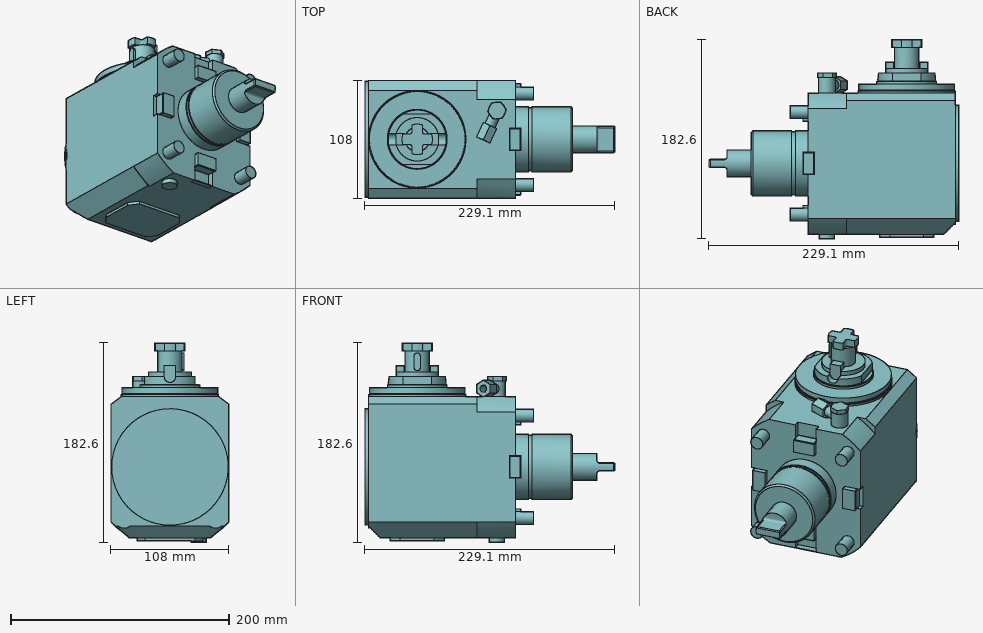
import cadquery as cq
import math


body_left = -44.7
body_right = 90.2
body_half_width = 54.0
body_top = 64.4
body_bottom = -65.0
step_x = 55.0
rounded_corner_radius = 74.0
top_chamfer_width = 9.2
top_chamfer_height = 6.9
bottom_chamfer_width = 16.7
bottom_chamfer_height = 14.7
toe_chamfer = 10.8
cover_radius = 53.4
cover_left = -47.9

bolt_y = 42.0
bolt_z = 47.0
bolt_radius = 6.0
bolt_end = 106.7
bolt_boss_radius = 9.2
key_left = 84.5
key_right = 95.0
key_width = 20.5
key_inner = 38.5
key_outer = 51.3
key_chamfer = 0.7

shank_radius = 30.0
shank_end = 142.5
shank_chamfer = 1.5
groove_left = 102.0
groove_right = 105.4
groove_radius = 29.0
drive_shaft_radius = 12.4
drive_shaft_end = 164.7
tang_end = 181.2
tang_half_thickness = 4.0
tang_bevel_run = 1.4
tang_bevel_drop = 0.7
tang_fillet = 2.0

flange_base_radius = 44.7
flange_base_top = 66.2
flange_groove_radius = 43.3
flange_groove_top = 67.0
flange_radius = 44.0
flange_top = 72.5
seal_radius = 27.5
seal_top = 75.5
seal_chamfer = 0.7
nut_radius = 26.5
nut_top = 83.0
nut_flat_width = 46.3
collar_radius = 20.0
collar_top = 87.0
spindle_radius = 11.2
driver_bottom = 106.3
driver_top = 113.4
driver_radius = 14.0
driver_arm_width = 9.8
driver_fillet = 1.5

dog_inner_x = 12.0
dog_span = 38.7
dog_width = 10.5
dog_top = 92.8
dog_bottom = 77.5

feather_width = 5.7
feather_bottom = 88.2
feather_top = 104.5
feather_reach = 13.0

fitting_x = 73.0
fitting_y = 26.3
fitting_radius = 7.8
fitting_head_corners = 17.2
fitting_head_bottom = 78.8
fitting_top = 83.0
nozzle_angle = 245.0
nozzle_z = 71.7
nozzle_radius = 5.0
nozzle_hex_corners = 15.5
nozzle_hex_start = 15.1
nozzle_hex_end = 29.8
nozzle_bore_radius = 3.2
nozzle_bore_depth = 13.7

pad_radius = 34.0
pad_length = 49.7
pad_width = 60.2
pad_bottom = -67.8
plug_radius = 7.0
plug_bottom = -69.2


def box(x0, x1, y0, y1, z0, z1):
    return cq.Workplane("XY").box(x1 - x0, y1 - y0, z1 - z0, centered=False).translate((x0, y0, z0))


def disc_x(radius, x0, x1, y=0.0, z=0.0):
    return cq.Workplane("YZ", origin=(x0, y, z)).circle(radius).extrude(x1 - x0)


def disc_z(radius, z0, z1, x=0.0, y=0.0):
    return cq.Workplane("XY", origin=(x, y, z0)).circle(radius).extrude(z1 - z0)


def make_housing():
    half = body_half_width
    front_profile = [
        (half, body_bottom + bottom_chamfer_height),
        (half, body_top - top_chamfer_height),
        (half - top_chamfer_width, body_top),
        (-half + top_chamfer_width, body_top),
        (-half, body_top - top_chamfer_height),
        (-half, body_bottom + bottom_chamfer_height),
        (-half + bottom_chamfer_width, body_bottom),
        (half - bottom_chamfer_width, body_bottom),
    ]
    front = cq.Workplane("YZ", origin=(body_left, 0, 0)).polyline(front_profile).close()
    front = front.extrude(step_x - body_left)
    toe = [
        (body_left, body_bottom),
        (body_left + toe_chamfer, body_bottom),
        (body_left, body_bottom + toe_chamfer),
    ]
    front = front.cut(cq.Workplane("XZ").polyline(toe).close().extrude(half, both=True))
    rear = box(step_x, body_right, -half, half, body_bottom, body_top)
    rear = rear.intersect(disc_x(rounded_corner_radius, step_x, body_right))
    housing = front.union(rear)
    for y in (-bolt_y, bolt_y):
        housing = housing.union(disc_x(bolt_boss_radius, body_left, step_x, y, -bolt_z))
    return housing.union(disc_x(cover_radius, cover_left, body_left))


def add_bolts(part):
    for y in (-bolt_y, bolt_y):
        for z in (-bolt_z, bolt_z):
            part = part.union(disc_x(bolt_radius, body_right, bolt_end, y, z))
    return part


def add_keys(part):
    half = key_width / 2
    slot = box(key_left, body_right, -half, half, key_inner, body_top)
    key = box(key_left, key_right, -half, half, key_inner, key_outer).faces(">Z").chamfer(key_chamfer)
    for angle in (0, 90, 180, 270):
        part = part.cut(slot.rotate((0, 0, 0), (1, 0, 0), angle))
        part = part.union(key.rotate((0, 0, 0), (1, 0, 0), angle))
    return part


def make_shank():
    shank = disc_x(shank_radius, body_right, shank_end).faces(">X").chamfer(shank_chamfer)
    groove = disc_x(shank_radius, groove_left, groove_right)
    groove = groove.cut(disc_x(groove_radius, groove_left, groove_right))
    return shank.cut(groove).union(disc_x(drive_shaft_radius, shank_end, drive_shaft_end))


def make_tang():
    thick = tang_half_thickness
    edge = thick - tang_bevel_drop
    side = math.sqrt(drive_shaft_radius**2 - edge**2)
    arc = tang_fillet * (1 - math.sqrt(0.5))
    root = drive_shaft_end
    profile = (
        cq.Workplane("XZ")
        .moveTo(root, -thick - tang_fillet)
        .threePointArc((root + arc, -thick - arc), (root + tang_fillet, -thick))
        .lineTo(tang_end - tang_bevel_run, -thick)
        .lineTo(tang_end, -edge)
        .lineTo(tang_end, edge)
        .lineTo(tang_end - tang_bevel_run, thick)
        .lineTo(root + tang_fillet, thick)
        .threePointArc((root + arc, thick + arc), (root, thick + tang_fillet))
        .close()
        .extrude(drive_shaft_radius, both=True)
    )
    blank = disc_x(drive_shaft_radius, root, tang_end).faces(">X").chamfer(tang_bevel_run, tang_bevel_drop)
    tang = profile.intersect(blank)
    for y_sign in (-1, 1):
        for z_sign in (-1, 1):
            bevel = [
                (y_sign * (side - tang_bevel_run), z_sign * thick),
                (y_sign * side, z_sign * edge),
                (y_sign * side, z_sign * thick),
            ]
            cutter = cq.Workplane("YZ", origin=(root + tang_fillet, 0, 0)).polyline(bevel).close()
            tang = tang.cut(cutter.extrude(tang_end - root))
    return tang


def make_driver():
    span = 2 * driver_radius
    height = driver_top - driver_bottom
    plane = cq.Workplane("XY", origin=(0, 0, driver_bottom))
    cross = plane.rect(span, driver_arm_width).extrude(height)
    cross = cross.union(plane.rect(driver_arm_width, span).extrude(height))
    half = driver_arm_width / 2
    reach = (half + driver_radius) / 2
    inner_corners = cq.selectors.BoxSelector((-reach, -reach, driver_bottom), (reach, reach, driver_top))
    cross = cross.edges("|Z").edges(inner_corners).fillet(driver_fillet)
    return cross.intersect(disc_z(driver_radius, driver_bottom, driver_top))


def round_bottom_bar(x0, x1):
    radius = dog_width / 2
    centre = dog_bottom + radius
    return box(x0, x1, -radius, radius, centre, dog_top).union(disc_x(radius, x0, x1, 0, centre))


def make_feather_key():
    length = feather_top - feather_bottom
    key = cq.Workplane("XZ").center(0, (feather_top + feather_bottom) / 2)
    return key.slot2D(length, feather_width, 90).extrude(feather_reach)


def make_spindle():
    flange = disc_z(flange_base_radius, body_top, flange_base_top)
    flange = flange.union(disc_z(flange_groove_radius, flange_base_top, flange_groove_top))
    flange = flange.union(disc_z(flange_radius, flange_groove_top, flange_top))
    seal = disc_z(seal_radius, flange_top, seal_top).faces(">Z").chamfer(seal_chamfer)
    nut = disc_z(nut_radius, seal_top, nut_top)
    nut_flats = nut_flat_width / 2
    nut = nut.intersect(box(-nut_radius, nut_radius, -nut_flats, nut_flats, seal_top, nut_top))
    collar = disc_z(collar_radius, nut_top, collar_top)
    spindle = flange.union(seal).union(nut).union(collar)
    for x0, x1 in ((-nut_radius, -dog_inner_x), (dog_inner_x, nut_radius)):
        spindle = spindle.cut(round_bottom_bar(x0, x1))
    dog_outer_x = dog_span / 2
    for x0, x1 in ((-dog_outer_x, -dog_inner_x), (dog_inner_x, dog_outer_x)):
        spindle = spindle.union(round_bottom_bar(x0, x1))
    spindle = spindle.union(disc_z(spindle_radius, seal_top, driver_bottom))
    return spindle.union(make_driver()).union(make_feather_key())


def hexagon(plane, across_corners, height):
    return plane.polygon(6, across_corners).extrude(height)


def make_fitting():
    post = disc_z(fitting_radius, body_top, fitting_head_bottom)
    head_plane = cq.Workplane("XY", origin=(0, 0, fitting_head_bottom))
    post = post.union(hexagon(head_plane, fitting_head_corners, fitting_top - fitting_head_bottom))
    neck = disc_x(nozzle_radius, 0, nozzle_hex_start, 0, nozzle_z)
    nozzle_plane = cq.Workplane("YZ", origin=(nozzle_hex_start, 0, nozzle_z)).transformed(rotate=(0, 0, 90))
    nozzle = hexagon(nozzle_plane, nozzle_hex_corners, nozzle_hex_end - nozzle_hex_start)
    bore = disc_x(nozzle_bore_radius, nozzle_hex_end - nozzle_bore_depth, nozzle_hex_end, 0, nozzle_z)
    fitting = post.union(neck).union(nozzle).cut(bore)
    return fitting.rotate((0, 0, 0), (0, 0, 1), nozzle_angle).translate((fitting_x, fitting_y, 0))


def make_underside():
    half_x = pad_length / 2
    half_y = pad_width / 2
    pad = disc_z(pad_radius, pad_bottom, body_bottom)
    pad = pad.intersect(box(-half_x, half_x, -half_y, half_y, pad_bottom, body_bottom))
    return pad.union(disc_z(plug_radius, plug_bottom, body_bottom, fitting_x, -fitting_y))


result = add_keys(add_bolts(make_housing()))
result = result.union(make_shank()).union(make_tang())
result = result.union(make_spindle()).union(make_fitting()).union(make_underside())